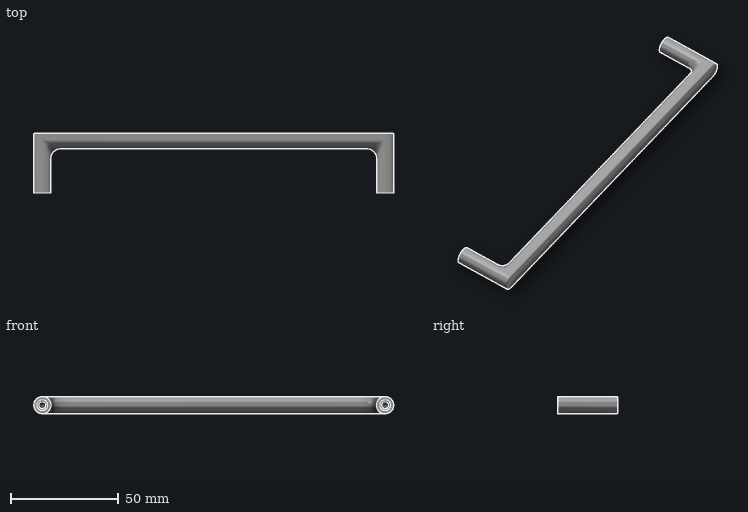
import cadquery as cq
import math

length = 168.0
depth = 28.0
leg_diameter = 8.0
leg_radius = leg_diameter / 2
leg_offset = length / 2 - leg_radius

flat_depth = 3.4
back_edge_radius = 0.5
side_front = depth - flat_depth
bar_front = side_front - leg_radius

corner_radius = 4.4

hole_diameter = 3.2
hole_radius = hole_diameter / 2
hole_depth = 13.5
drill_point_angle = 118
mouth_diameter = 5.0
mouth_radius = mouth_diameter / 2
mouth_depth = mouth_radius - hole_radius
tip_depth = hole_depth + hole_radius / math.tan(math.radians(drill_point_angle / 2))


def make_leg(x):
    """Round leg standing on the plane Y = 0."""
    return cq.Workplane("XZ", origin=(x, 0, 0)).circle(leg_radius).extrude(-depth)


def make_bar():
    """Bar between the leg axes, with its half-round side facing the leg feet."""
    return (
        cq.Workplane("YZ", origin=(-leg_offset, 0, 0))
        .moveTo(depth, -leg_radius)
        .lineTo(side_front, -leg_radius)
        .threePointArc((bar_front, 0), (side_front, leg_radius))
        .lineTo(depth, leg_radius)
        .close()
        .extrude(2 * leg_offset)
    )


def make_hole(x):
    """Screw hole revolved about the leg axis, entering from the foot."""
    return (
        cq.Workplane("XY", origin=(x, 0, 0))
        .moveTo(0, 0)
        .lineTo(mouth_radius, 0)
        .lineTo(hole_radius, mouth_depth)
        .lineTo(hole_radius, hole_depth)
        .lineTo(0, tip_depth)
        .close()
        .revolve(360, (0, 0), (0, 1))
    )


body = make_bar()
for side in (-1, 1):
    body = body.union(make_leg(side * leg_offset))

body = body.edges("%ELLIPSE").fillet(corner_radius)

body = body.faces(">Y").edges().fillet(back_edge_radius)

for side in (-1, 1):
    body = body.cut(make_hole(side * leg_offset))

result = body